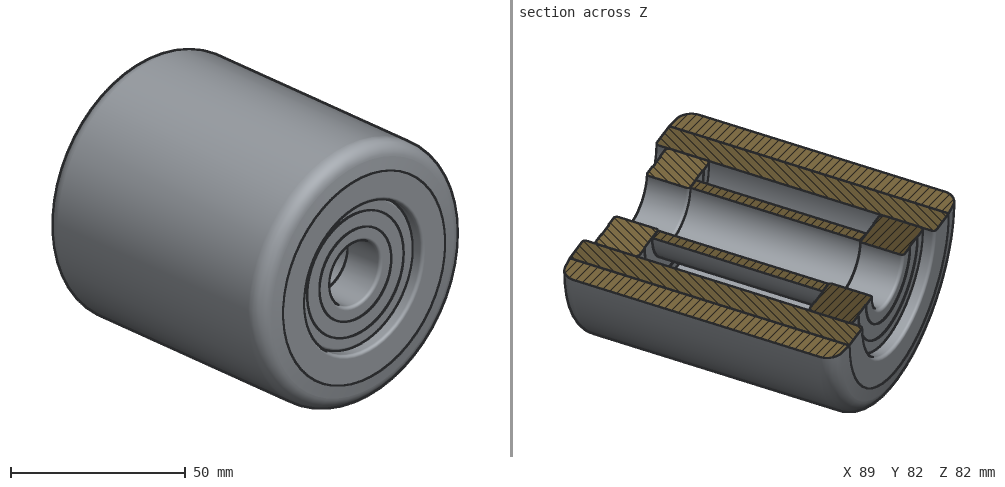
import cadquery as cq
import math

ROLLER_LENGTH = 89.0
TYRE_DIAMETER = 82.0
TYRE_EDGE_RADIUS = 5.0
TYRE_END_TAPER = math.radians(7.0)
HUB_DIAMETER = 65.0

BEARING_BORE = 20.0
BEARING_DIAMETER = 47.0
BEARING_WIDTH = 14.0
BEARING_EDGE_RADIUS = 1.0
BEARING_RECESS = 3.5
SHIELD_INNER_DIAMETER = 28.8
SHIELD_OUTER_DIAMETER = 38.7
SHIELD_DEPTH = 0.15
HUB_EDGE_RADIUS = 1.0

HALF_LENGTH = ROLLER_LENGTH / 2
BEARING_OUTER_FACE = HALF_LENGTH - BEARING_RECESS
BEARING_INNER_FACE = BEARING_OUTER_FACE - BEARING_WIDTH
BEARING_CENTRE = (BEARING_OUTER_FACE + BEARING_INNER_FACE) / 2

SPACER_LENGTH = 2 * BEARING_INNER_FACE
SPACER_BORE = 21.0
SPACER_DIAMETER = SHIELD_INNER_DIAMETER


def tube(outer_diameter, inner_diameter, length, centre=0.0):
    """Plain tube along X, with its mid-length at X = centre."""
    return (
        cq.Workplane("YZ", origin=(centre - length / 2, 0, 0))
        .circle(outer_diameter / 2)
        .circle(inner_diameter / 2)
        .extrude(length)
    )


def make_tyre():
    """Tyre whose slightly tapered ends run tangent into the rounded rims."""
    tread_radius = TYRE_DIAMETER / 2
    inner_radius = HUB_DIAMETER / 2
    arc_centre_radius = tread_radius - TYRE_EDGE_RADIUS
    taper_end_radius = arc_centre_radius + TYRE_EDGE_RADIUS * math.sin(TYRE_END_TAPER)
    taper_setback = (taper_end_radius - inner_radius) * math.tan(TYRE_END_TAPER)
    taper_end_x = HALF_LENGTH - taper_setback
    arc_centre_x = taper_end_x - TYRE_EDGE_RADIUS * math.cos(TYRE_END_TAPER)
    mid_angle = (TYRE_END_TAPER + math.pi / 2) / 2
    arc_mid_x = arc_centre_x + TYRE_EDGE_RADIUS * math.cos(mid_angle)
    arc_mid_radius = arc_centre_radius + TYRE_EDGE_RADIUS * math.sin(mid_angle)
    return (
        cq.Workplane("XY")
        .moveTo(-HALF_LENGTH, inner_radius)
        .lineTo(-taper_end_x, taper_end_radius)
        .threePointArc((-arc_mid_x, arc_mid_radius), (-arc_centre_x, tread_radius))
        .lineTo(arc_centre_x, tread_radius)
        .threePointArc((arc_mid_x, arc_mid_radius), (taper_end_x, taper_end_radius))
        .lineTo(HALF_LENGTH, inner_radius)
        .close()
        .revolve(360, (0, 0, 0), (1, 0, 0))
    )


def make_hub():
    """Hub sleeve whose bore seats both bearings, rounded at each mouth."""
    hub = tube(HUB_DIAMETER, BEARING_DIAMETER, ROLLER_LENGTH)
    mouth_edges = cq.selectors.RadiusNthSelector(0)
    return hub.edges("%CIRCLE").edges(mouth_edges).fillet(HUB_EDGE_RADIUS)


def make_bearing(side):
    """Bearing at the +X (side = 1) or -X (side = -1) end."""
    centre = side * BEARING_CENTRE
    bearing = tube(BEARING_DIAMETER, BEARING_BORE, BEARING_WIDTH, centre)
    bearing = bearing.edges("%CIRCLE").fillet(BEARING_EDGE_RADIUS)
    step_offset = (BEARING_WIDTH - SHIELD_DEPTH) / 2
    for face in (-1, 1):
        step_centre = centre + face * step_offset
        bearing = bearing.cut(
            tube(SHIELD_OUTER_DIAMETER, SHIELD_INNER_DIAMETER, SHIELD_DEPTH, step_centre)
        )
    return bearing


def make_spacer():
    """Tube that holds the inner races of the bearings apart."""
    return tube(SPACER_DIAMETER, SPACER_BORE, SPACER_LENGTH)


tyre = make_tyre()
hub = make_hub()
bearings = [make_bearing(side) for side in (-1, 1)]
spacer = make_spacer()

result = cq.Compound.makeCompound(
    [tyre.val(), hub.val(), *[bearing.val() for bearing in bearings], spacer.val()]
)